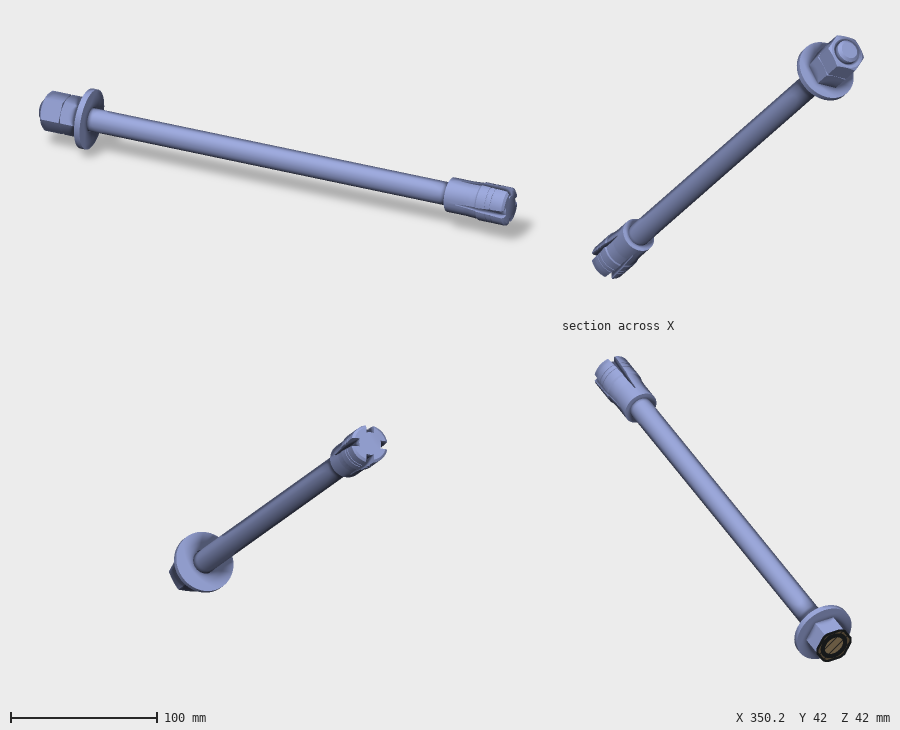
import cadquery as cq
import math

TOTAL_LENGTH = 350.2

ROD_DIAMETER = 16.0
ROD_TIP_DIAMETER = 12.0
ROD_CHAMFER_LENGTH = 1.8

NUT_COUNT = 2
NUT_ACROSS_FLATS = 24.0
NUT_HEIGHT = 14.7
NUT_START = 3.5
NUT_FACE_DIAMETER = 23.5
NUT_BEVEL_ANGLE = 30.0
NUT_COUNTERSINK_DIAMETER = 20.0
NUT_CORNER_RADIUS = NUT_ACROSS_FLATS / math.sqrt(3)

WASHER_DIAMETER = 42.0
WASHER_HOLE_DIAMETER = 17.0
WASHER_THICKNESS = 4.2
WASHER_START = NUT_START + NUT_COUNT * NUT_HEIGHT

SLEEVE_DIAMETER = 24.0
SLEEVE_START = 305.5
FLARE_START = 320.0
FLARE_END_DIAMETER = 25.2
COLLAR_START = 328.5
COLLAR_DIAMETER = 26.5
COLLAR_BEVEL_LENGTH = 1.0
END_CHAMFER_LENGTH = 1.5
END_CHAMFER_DEPTH = 1.8
GROOVE_CENTRES = (336.5, 340.5)
GROOVE_WIDTH = 1.0
GROOVE_DEPTH = 0.5
SLOT_COUNT = 4
SLOT_START = 313.5
SLOT_START_WIDTH = 0.7
SLOT_END_WIDTH = 5.5


def turned(profile):
    """Solid of revolution about X from (x, radius) points."""
    return cq.Workplane("XY").polyline(profile).close().revolve(360, (0, 0, 0), (1, 0, 0))


def cylinder(start, length, diameter):
    """Cylinder along X that begins at X = start."""
    return cq.Workplane("YZ").workplane(offset=start).circle(diameter / 2).extrude(length)


def make_rod():
    radius = ROD_DIAMETER / 2
    return turned([
        (0, 0),
        (0, ROD_TIP_DIAMETER / 2),
        (ROD_CHAMFER_LENGTH, radius),
        (TOTAL_LENGTH, radius),
        (TOTAL_LENGTH, 0),
    ])


def make_nut(start):
    end = start + NUT_HEIGHT
    hexagon = (
        cq.Workplane("YZ").workplane(offset=start)
        .polygon(6, 2 * NUT_CORNER_RADIUS).extrude(NUT_HEIGHT)
    )

    face_radius = NUT_FACE_DIAMETER / 2
    bevel_length = (NUT_CORNER_RADIUS - face_radius) * math.tan(math.radians(NUT_BEVEL_ANGLE))
    bevelled_envelope = turned([
        (start, 0),
        (start, face_radius),
        (start + bevel_length, NUT_CORNER_RADIUS),
        (end, NUT_CORNER_RADIUS),
        (end, 0),
    ])

    hole_radius = ROD_DIAMETER / 2
    countersink_radius = NUT_COUNTERSINK_DIAMETER / 2
    countersink_depth = countersink_radius - hole_radius
    countersunk_hole = turned([
        (start, 0),
        (start, countersink_radius),
        (start + countersink_depth, hole_radius),
        (end, hole_radius),
        (end, 0),
    ])
    return hexagon.intersect(bevelled_envelope).cut(countersunk_hole)


def make_washer():
    disc = cylinder(WASHER_START, WASHER_THICKNESS, WASHER_DIAMETER)
    return disc.cut(cylinder(WASHER_START, WASHER_THICKNESS, WASHER_HOLE_DIAMETER))


def make_sleeve_blank():
    collar_radius = COLLAR_DIAMETER / 2
    return turned([
        (SLEEVE_START, 0),
        (SLEEVE_START, SLEEVE_DIAMETER / 2),
        (FLARE_START, SLEEVE_DIAMETER / 2),
        (COLLAR_START, FLARE_END_DIAMETER / 2),
        (COLLAR_START + COLLAR_BEVEL_LENGTH, collar_radius),
        (TOTAL_LENGTH - END_CHAMFER_LENGTH, collar_radius),
        (TOTAL_LENGTH, collar_radius - END_CHAMFER_DEPTH),
        (TOTAL_LENGTH, 0),
    ])


def make_groove(centre):
    """Ring that cuts one shallow groove around the collar."""
    start = centre - GROOVE_WIDTH / 2
    ring = cylinder(start, GROOVE_WIDTH, COLLAR_DIAMETER)
    return ring.cut(cylinder(start, GROOVE_WIDTH, COLLAR_DIAMETER - 2 * GROOVE_DEPTH))


def make_slot(angle):
    """Radial wedge, open at the sleeve's far end, turned about X to the given angle."""
    wedge = (
        cq.Workplane("XY")
        .polyline([
            (SLOT_START, -SLOT_START_WIDTH / 2),
            (SLOT_START, SLOT_START_WIDTH / 2),
            (TOTAL_LENGTH, SLOT_END_WIDTH / 2),
            (TOTAL_LENGTH, -SLOT_END_WIDTH / 2),
        ])
        .close().extrude(COLLAR_DIAMETER)
    )
    return wedge.rotate((0, 0, 0), (1, 0, 0), angle)


def make_sleeve():
    sleeve = make_sleeve_blank()
    for centre in GROOVE_CENTRES:
        sleeve = sleeve.cut(make_groove(centre))
    for i in range(SLOT_COUNT):
        sleeve = sleeve.cut(make_slot(i * 360 / SLOT_COUNT))
    return sleeve.cut(cylinder(SLEEVE_START, TOTAL_LENGTH - SLEEVE_START, ROD_DIAMETER))


rod = make_rod()
nuts = [make_nut(NUT_START + i * NUT_HEIGHT) for i in range(NUT_COUNT)]
washer = make_washer()
sleeve = make_sleeve()

result = cq.Compound.makeCompound([
    rod.val(),
    *[nut.val() for nut in nuts],
    washer.val(),
    sleeve.val(),
])